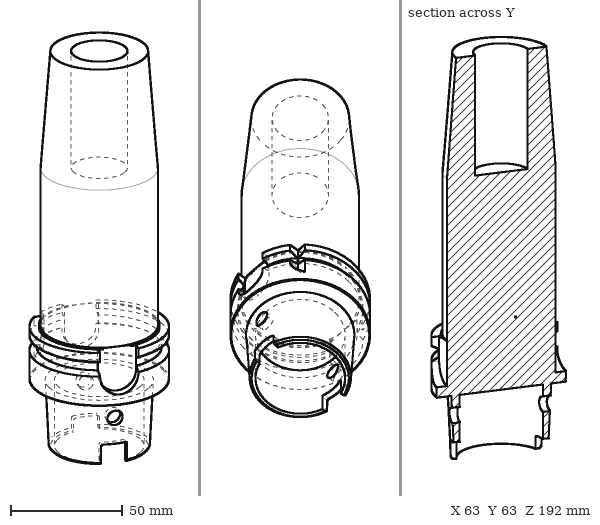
import cadquery as cq

total_length = 192.0
shank_length = 32.0
flange_thickness = 26.0
flange_top = shank_length + flange_thickness

nose_radius = 22.0
body_radius = 26.5
nose_length = 56.8
bore_radius = 12.7
bore_depth = nose_length
nose_base = total_length - nose_length

ring_radius = 27.3
ring_height = 0.5

flange_radius = 31.5
flange_chamfer = 0.4
groove_floor_radius = 28.2
groove_floor_width = 3.8
groove_flank_height = 1.7
groove_center = 50.1

shank_base_radius = 24.4
shank_end_radius = 22.8
shank_chamfer = 1.0

hollow_radius = 20.2
hollow_depth = shank_length

slot_end = 37.2
slot_floor = body_radius
narrow_slot_width = 16.0
wide_slot_width = 18.0
notch_floor = 19.8
notch_flank = 19.8
notch_center_y = -(notch_flank + narrow_slot_width / 2)

keyway_width = 12.3
short_keyway_height = 6.3
long_keyway_height = 10.0
keyway_fillet = 1.0
cross_hole_diameter = 7.1
cross_hole_height = 22.8


def turned_body():
    """Revolved outline: shank, grooved flange, body and tapered nose."""
    floor_low = groove_center - groove_floor_width / 2
    floor_high = groove_center + groove_floor_width / 2
    outline = [
        (0, 0),
        (shank_end_radius - shank_chamfer, 0),
        (shank_end_radius, shank_chamfer),
        (shank_base_radius, shank_length),
        (flange_radius - flange_chamfer, shank_length),
        (flange_radius, shank_length + flange_chamfer),
        (flange_radius, floor_low - groove_flank_height),
        (groove_floor_radius, floor_low),
        (groove_floor_radius, floor_high),
        (flange_radius, floor_high + groove_flank_height),
        (flange_radius, flange_top),
        (ring_radius, flange_top),
        (ring_radius, flange_top + ring_height),
        (body_radius, flange_top + ring_height),
        (body_radius, nose_base),
        (nose_radius, total_length),
        (0, total_length),
    ]
    return cq.Workplane("XZ").polyline(outline).close().revolve(360, (0, 0, 0), (0, 1, 0))


def rim_slot(side, floor, width, center_y=0.0):
    """Cutter for a slot open at the flange top, with a semicircular lower end.

    side is +1 or -1 for the +X or -X side; the flat slot floor lies at x = side * floor.
    """
    radius = width / 2
    arc_height = slot_end + radius
    top = flange_top + ring_height
    return (
        cq.Workplane("YZ", origin=(side * floor, center_y, 0))
        .moveTo(-radius, top)
        .lineTo(-radius, arc_height)
        .threePointArc((0, slot_end), (radius, arc_height))
        .lineTo(radius, top)
        .close()
        .extrude(side * flange_radius)
    )


def keyway(side, height):
    """Cutter for a keyway through the shank wall on one side, open at the shank end."""
    return (
        cq.Workplane("XY")
        .box(flange_radius, keyway_width, height, centered=(True, True, False))
        .edges("|X and >Z")
        .fillet(keyway_fillet)
        .translate((side * flange_radius / 2, 0, 0))
    )


def bore():
    """Cutter for the blind tool bore in the nose."""
    return cq.Workplane("XY", origin=(0, 0, nose_base)).circle(bore_radius).extrude(bore_depth)


def shank_hollow():
    """Cutter for the round hollow open at the shank end."""
    return cq.Workplane("XY").circle(hollow_radius).extrude(hollow_depth)


def cross_hole():
    """Cutter for the hole running through both shank walls along X."""
    return (
        cq.Workplane("YZ")
        .center(0, cross_hole_height)
        .circle(cross_hole_diameter / 2)
        .extrude(flange_radius, both=True)
    )


result = (
    turned_body()
    .cut(bore())
    .cut(shank_hollow())
    .cut(rim_slot(-1, slot_floor, narrow_slot_width))
    .cut(rim_slot(1, slot_floor, wide_slot_width))
    .cut(rim_slot(-1, notch_floor, narrow_slot_width, notch_center_y))
    .cut(keyway(-1, short_keyway_height))
    .cut(keyway(1, long_keyway_height))
    .cut(cross_hole())
)